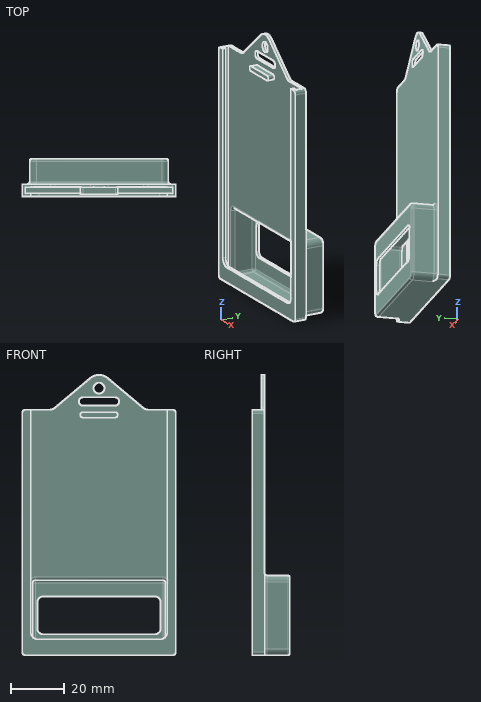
import cadquery as cq
import math

width = 57.6
shoulder_height = 92.0
total_height = 105.0
frame_depth = 4.7
plate_thickness = 1.2
corner_radius = 1.4

slot_wall = 1.3
lip_thickness = 1.2
lip_width = 3.2
bottom_lip_height = 6.0
opening_radius = 3.0

tab_angle = 40.0
tab_tip_radius = 5.0
tab_root_radius = 2.5
hole_diameter = 4.0
hole_height = total_height - tab_tip_radius
strap_slot_length = 15.0
strap_slot_width = 3.0
strap_slot_height = 95.0

catch_length = 14.0
catch_width = 2.0
catch_height = 90.0
catch_front = 0.9

total_depth = 14.2
box_width = 51.9
box_height = 30.0
box_side_wall = 1.2
box_end_wall = 1.8
box_back_wall = 1.2
box_corner_radius = 2.5
box_edge_radius = 0.9
pocket_edge_radius = 0.95
pocket_mouth_radius = plate_thickness
window_width = 46.0
window_height = 14.0
window_radius = 2.0

plate_front = frame_depth - plate_thickness
box_middle = box_height / 2


def block(size_x, size_z, bottom, front, back):
    """Box centred on X = 0, between two depths."""
    return cq.Workplane("XY").box(
        size_x, back - front, size_z, centered=(True, False, False)
    ).translate((0, front, bottom))


def bar(length, height, middle, front, back):
    """Round-ended bar along X."""
    return (
        cq.Workplane("XZ", origin=(0, front, middle))
        .slot2D(length, height)
        .extrude(front - back)
    )


def round_joint(body, depth, radius):
    """Fillet the edges where a boss rises from the broad face at a depth."""
    slack = 0.01
    reach = box_width / 2 + slack
    joint = cq.selectors.BoxSelector(
        (-reach, depth - slack, -slack),
        (reach, depth + slack, box_height + slack),
        boundingbox=True,
    )
    return body.edges(joint).fillet(radius)


def make_frame():
    frame = block(width, shoulder_height, 0, 0, frame_depth)
    return frame.edges("|Y").fillet(corner_radius)


def make_tab():
    """Triangular tab with a rounded tip and rounded roots."""
    angle = math.radians(tab_angle)
    apex = total_height + tab_tip_radius * (1 / math.cos(angle) - 1)
    half_base = (apex - shoulder_height) / math.tan(angle)
    half_foot = width / 2 - corner_radius
    foot = shoulder_height - corner_radius
    tab = (
        cq.Workplane("XZ", origin=(0, plate_front, 0))
        .polyline([
            (-half_foot, foot),
            (-half_foot, shoulder_height),
            (-half_base, shoulder_height),
            (0, apex),
            (half_base, shoulder_height),
            (half_foot, shoulder_height),
            (half_foot, foot),
        ])
        .close()
        .extrude(-plate_thickness)
    )
    tip = cq.selectors.NearestToPointSelector((0, frame_depth, apex))
    tab = tab.edges("|Y").edges(tip).fillet(tab_tip_radius)
    for side in (-1, 1):
        root = cq.selectors.NearestToPointSelector((side * half_base, frame_depth, shoulder_height))
        tab = tab.edges("|Y").edges(root).fillet(tab_root_radius)
    return tab


def make_card_slot():
    slot = block(width - 2 * slot_wall, total_height, slot_wall, lip_thickness, plate_front)
    opening = block(width - 2 * lip_width, total_height, bottom_lip_height, 0, lip_thickness)
    return slot.union(opening.edges("|Y and <Z").fillet(opening_radius))


def make_box():
    """Rounded box with a flared foot where it meets the plate."""
    box = block(box_width, box_height, 0, plate_front, total_depth)
    box = box.edges("|Y").fillet(box_corner_radius)
    box = box.faces(">Y").edges().fillet(box_edge_radius)
    base = block(width, 2 * box_height, -box_middle, plate_front, frame_depth)
    joined = round_joint(base.union(box), frame_depth, box_edge_radius)
    keep = block(width, box_height + box_middle, 0, frame_depth, total_depth)
    return joined.intersect(keep)


def make_pocket():
    """Inside of the box, with rounded corners and floor and a flared mouth."""
    pocket_width = box_width - 2 * box_side_wall
    pocket_height = box_height - 2 * box_end_wall
    floor = total_depth - box_back_wall
    pocket = block(pocket_width, pocket_height, box_end_wall, plate_front, floor)
    pocket = pocket.edges("|Y or >Y").fillet(pocket_edge_radius)
    slab = block(width, 2 * box_height, -box_middle, 0, plate_front)
    flared = round_joint(slab.union(pocket), plate_front, pocket_mouth_radius)
    keep = block(width - 2 * slot_wall, box_height, slot_wall, plate_front, floor)
    return flared.intersect(keep)


def make_window():
    window = block(window_width, window_height, box_middle - window_height / 2, plate_front, total_depth)
    return window.edges("|Y").fillet(window_radius)


hole = cq.Workplane("XZ", origin=(0, 0, hole_height)).circle(hole_diameter / 2).extrude(-frame_depth)
strap_slot = bar(strap_slot_length, strap_slot_width, strap_slot_height, 0, frame_depth)
catch = bar(catch_length, catch_width, catch_height, catch_front, plate_front)

result = (
    make_frame()
    .cut(make_card_slot())
    .union(make_tab())
    .union(make_box())
    .cut(make_pocket())
    .cut(make_window())
    .cut(hole)
    .cut(strap_slot)
    .union(catch)
)